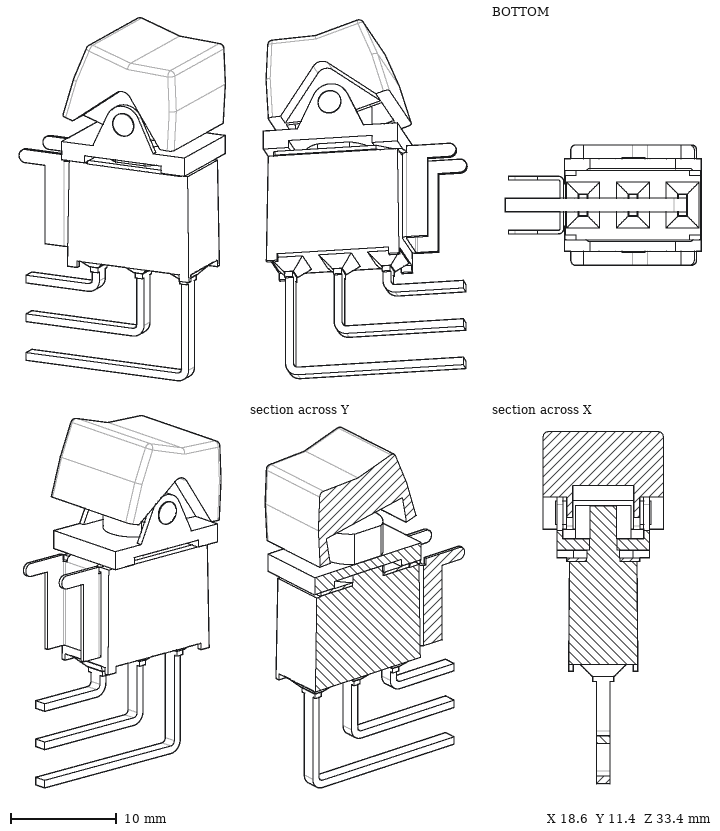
import cadquery as cq
import math


HOUSING_TOP_LENGTH = 12.5
HOUSING_TOP_WIDTH = 6.4
HOUSING_BOTTOM_LENGTH = 12.83
HOUSING_BOTTOM_WIDTH = 6.6
HOUSING_HEIGHT = 10.4
FOOT_HEIGHT = 0.65
FOOT_LENGTH = 1.05
FOOT_WIDTH = 0.47
UNDERSIDE_Z = FOOT_HEIGHT - HOUSING_HEIGHT

SEAL_HEIGHT = 1.1
SEAL_BOTTOM_LENGTH = 0.95
SEAL_BOTTOM_WIDTH = 2.15
SEAL_BOTTOM_Z = UNDERSIDE_Z - SEAL_HEIGHT

TERMINAL_COUNT = 3
TERMINAL_PITCH = 4.7
TERMINAL_THICKNESS = 0.77
TERMINAL_WIDTH = 1.3
TERMINAL_TIP_X = -12.1
TERMINAL_BEND_INNER_RADIUS = 0.45
TERMINAL_BEND_OUTER_RADIUS = TERMINAL_BEND_INNER_RADIUS + TERMINAL_THICKNESS
SHOULDER_WIDTH = 2.0
SHOULDER_HEIGHT = 0.5
LOWEST_Z = -21.05
ROW_PITCH = 3.8

SHEET = 0.37
CLIP_PLATE_WIDTH = 6.92
CLIP_NECK_WIDTH = 4.0
CLIP_SHOULDER = (CLIP_PLATE_WIDTH - CLIP_NECK_WIDTH) / 2
CLIP_SHOULDER_X = -5.68
CLIP_END_X = 5.75
CLIP_END_CHAMFER = 0.25
CLIP_BACK_X = -6.92
CLIP_BEND_RADIUS = 0.67
CLIP_BOTTOM_Z = -8.65
ARM_OUTER_SPACING = 5.48
ARM_BEND_RADIUS = 0.5
ARM_EDGE_X = -9.05
PRONG_TIP_X = -11.8
PRONG_HEIGHT = 1.3

FRAME_LENGTH = 12.97
FRAME_WIDTH = 8.8
FRAME_BOTTOM_Z = SHEET
FRAME_TOP_Z = 2.17
FRAME_SLOT_LENGTH = 8.1
FRAME_SLOT_HEIGHT = 0.7
EAR_THICKNESS = 0.57
EAR_BASE_LENGTH = 6.38
EAR_RADIUS = 1.8

PIVOT_X = 0.07
PIVOT_Z = 4.65
PIVOT_DIAMETER = 2.2
PIVOT_END_Y = 4.5
ROCKER_TILT = 10.2
ROCKER_WIDTH = 11.43
ROCKER_TOP_HALF = 4.6
ROCKER_TOP_EDGE = 7.12
ROCKER_TOP_MIDDLE = 6.52
ROCKER_WAIST_HALF = 5.48
ROCKER_WAIST = 3.3
ROCKER_BOTTOM_HALF = 5.95
ROCKER_BOTTOM_EDGE = -0.57
ROCKER_BOTTOM_MIDDLE = -1.3
ROCKER_FILLET = 0.5
POCKET_FLOOR_Y = 3.48
POCKET_HALF = 4.68
POCKET_TIP_RADIUS = 1.0
POCKET_TIP_CENTER = 2.7
CAVITY_WIDTH = 5.75
CAVITY_TOP = 2.0

COLLAR_DIAMETER = 6.4
COLLAR_FLAT_WIDTH = 5.6
COLLAR_TOP_Z = FRAME_BOTTOM_Z + FRAME_SLOT_HEIGHT
POST_DIAMETER = 6.18
POST_FLAT_WIDTH = 5.28
POST_TOP_Z = PIVOT_Z + 0.67


def block(x_range, y_range, z_range):
    """Axis-aligned box between pairs of limits."""
    size = [high - low for low, high in (x_range, y_range, z_range)]
    corner = (x_range[0], y_range[0], z_range[0])
    return cq.Workplane("XY").box(*size, centered=False).translate(corner)


def centered_block(length, width, bottom_z, top_z):
    """Box centred on the switch axis."""
    return block((-length / 2, length / 2), (-width / 2, width / 2), (bottom_z, top_z))


def across(outline, y_low, y_high):
    """Extrude a closed XZ outline from y_low to y_high."""
    return outline.extrude(y_low - y_high).translate((0, y_low, 0))


def tangent_hood(half_base, base_height, radius, center_height):
    """XZ outline: a base line whose ends rise tangentially to an arc centred above its middle."""
    rise = center_height - base_height
    distance = math.hypot(half_base, rise)
    normal_angle = math.acos(radius / distance) - math.atan2(rise, half_base)
    tangent_x = radius * math.cos(normal_angle)
    tangent_z = center_height + radius * math.sin(normal_angle)
    return (
        cq.Workplane("XZ")
        .moveTo(-half_base, base_height)
        .lineTo(-tangent_x, tangent_z)
        .threePointArc((0, center_height + radius), (tangent_x, tangent_z))
        .lineTo(half_base, base_height)
        .close()
    )


def flatted_post(diameter, flat_width, height):
    """Round post standing on the housing top, with flats facing +Y and -Y."""
    post = cq.Workplane("XY").circle(diameter / 2).extrude(height)
    return post.intersect(centered_block(diameter, flat_width, 0, height))


def bushing_shape():
    """Wide collar inside the clip and frame slot, and the longer post through the frame."""
    collar = flatted_post(COLLAR_DIAMETER, COLLAR_FLAT_WIDTH, COLLAR_TOP_Z)
    return collar.union(flatted_post(POST_DIAMETER, POST_FLAT_WIDTH, POST_TOP_Z))


def pivot_pin(y_low, y_high):
    """Cylinder on the rocker's pivot axis."""
    return across(cq.Workplane("XZ").center(PIVOT_X, PIVOT_Z).circle(PIVOT_DIAMETER / 2), y_low, y_high)


def terminal_positions():
    """X of each vertical leg, from the -X end."""
    return [(index - (TERMINAL_COUNT - 1) / 2) * TERMINAL_PITCH for index in range(TERMINAL_COUNT)]


def make_seal(x):
    """Frustum with 45 degree sides under the housing, around a terminal."""
    return (
        cq.Workplane("XY", origin=(x, 0, SEAL_BOTTOM_Z))
        .rect(SEAL_BOTTOM_LENGTH, SEAL_BOTTOM_WIDTH)
        .workplane(offset=SEAL_HEIGHT)
        .rect(SEAL_BOTTOM_LENGTH + 2 * SEAL_HEIGHT, SEAL_BOTTOM_WIDTH + 2 * SEAL_HEIGHT)
        .loft(ruled=True)
    )


def make_housing():
    body = (
        cq.Workplane("XY", origin=(0, 0, -HOUSING_HEIGHT))
        .rect(HOUSING_BOTTOM_LENGTH, HOUSING_BOTTOM_WIDTH)
        .workplane(offset=HOUSING_HEIGHT)
        .rect(HOUSING_TOP_LENGTH, HOUSING_TOP_WIDTH)
        .loft(ruled=True)
    )
    between_feet_x = HOUSING_BOTTOM_LENGTH - 2 * FOOT_LENGTH
    between_feet_y = HOUSING_BOTTOM_WIDTH - 2 * FOOT_WIDTH
    body = body.cut(centered_block(between_feet_x, HOUSING_BOTTOM_WIDTH, -HOUSING_HEIGHT, UNDERSIDE_Z))
    body = body.cut(centered_block(HOUSING_BOTTOM_LENGTH, between_feet_y, -HOUSING_HEIGHT, UNDERSIDE_Z))
    for x in terminal_positions():
        body = body.union(make_seal(x))
    return body.union(bushing_shape())


def make_terminal(x, row_z):
    """Leg down from a seal at x, bent to run towards -X with its underside at row_z."""
    half = TERMINAL_THICKNESS / 2
    bar = (
        cq.Workplane("XZ")
        .moveTo(x - half, SEAL_BOTTOM_Z)
        .lineTo(x + half, SEAL_BOTTOM_Z)
        .lineTo(x + half, row_z + TERMINAL_BEND_OUTER_RADIUS)
        .radiusArc((x + half - TERMINAL_BEND_OUTER_RADIUS, row_z), TERMINAL_BEND_OUTER_RADIUS)
        .lineTo(TERMINAL_TIP_X, row_z)
        .lineTo(TERMINAL_TIP_X, row_z + TERMINAL_THICKNESS)
        .lineTo(x - half - TERMINAL_BEND_INNER_RADIUS, row_z + TERMINAL_THICKNESS)
        .radiusArc((x - half, row_z + TERMINAL_BEND_OUTER_RADIUS), -TERMINAL_BEND_INNER_RADIUS)
        .close()
    )
    shoulder = block(
        (x - half, x + half),
        (-SHOULDER_WIDTH / 2, SHOULDER_WIDTH / 2),
        (SEAL_BOTTOM_Z - SHOULDER_HEIGHT, SEAL_BOTTOM_Z),
    )
    return across(bar, -TERMINAL_WIDTH / 2, TERMINAL_WIDTH / 2).union(shoulder)


def make_clip_plate():
    """Flat part under the frame, narrowing to a neck at the bend."""
    half = CLIP_PLATE_WIDTH / 2
    neck = CLIP_NECK_WIDTH / 2
    bend_x = CLIP_BACK_X + CLIP_BEND_RADIUS
    chamfer_x = CLIP_END_X - CLIP_END_CHAMFER
    chamfer_y = half - CLIP_END_CHAMFER
    edge = [
        (bend_x, neck),
        (CLIP_SHOULDER_X, neck),
        (CLIP_SHOULDER_X + CLIP_SHOULDER, half),
        (chamfer_x, half),
        (CLIP_END_X, chamfer_y),
    ]
    mirrored_edge = [(x, -y) for x, y in reversed(edge)]
    return cq.Workplane("XY").polyline(edge + mirrored_edge).close().extrude(SHEET)


def make_clip_neck():
    """Quarter bend from the flat part down to the back wall."""
    center_x = CLIP_BACK_X + CLIP_BEND_RADIUS
    center_z = SHEET - CLIP_BEND_RADIUS
    inner = CLIP_BEND_RADIUS - SHEET
    bend = (
        cq.Workplane("XZ")
        .moveTo(CLIP_BACK_X, center_z)
        .radiusArc((center_x, SHEET), CLIP_BEND_RADIUS)
        .lineTo(center_x, center_z + inner)
        .radiusArc((center_x - inner, center_z), -inner)
        .close()
    )
    return across(bend, -CLIP_NECK_WIDTH / 2, CLIP_NECK_WIDTH / 2)


def make_clip_channel():
    """Back wall and the two arms, joined by rounded corners: a U in plan."""
    front_x = CLIP_BACK_X + SHEET
    outer = ARM_OUTER_SPACING / 2
    inner = outer - SHEET
    z_range = (CLIP_BOTTOM_Z, SHEET - CLIP_BEND_RADIUS)
    channel = block((ARM_EDGE_X, front_x), (-outer, outer), z_range)
    channel = channel.edges("|Z and >X").fillet(ARM_BEND_RADIUS)
    opening = block((ARM_EDGE_X, CLIP_BACK_X), (-inner, inner), z_range)
    opening = opening.edges("|Z and >X").fillet(ARM_BEND_RADIUS - SHEET)
    return channel.cut(opening)


def make_clip_prong():
    """Round-ended prong along the top of the +Y arm."""
    root_x = CLIP_BACK_X + SHEET - ARM_BEND_RADIUS
    outer = ARM_OUTER_SPACING / 2
    radius = PRONG_HEIGHT / 2
    prong_bottom_z = SHEET - PRONG_HEIGHT
    outline = (
        cq.Workplane("XZ")
        .moveTo(root_x, SHEET)
        .lineTo(root_x, prong_bottom_z)
        .lineTo(PRONG_TIP_X + radius, prong_bottom_z)
        .threePointArc((PRONG_TIP_X, SHEET - radius), (PRONG_TIP_X + radius, SHEET))
        .close()
    )
    return across(outline, outer - SHEET, outer)


def make_clip():
    prong = make_clip_prong()
    clip = make_clip_plate().union(make_clip_neck()).union(make_clip_channel())
    clip = clip.union(prong).union(prong.mirror("XZ")).clean()
    return clip.cut(bushing_shape())


def make_frame():
    frame = centered_block(FRAME_LENGTH, FRAME_WIDTH, FRAME_BOTTOM_Z, FRAME_TOP_Z)
    frame = frame.cut(centered_block(FRAME_SLOT_LENGTH, FRAME_WIDTH, FRAME_BOTTOM_Z, COLLAR_TOP_Z))
    outer = FRAME_WIDTH / 2
    ear_outline = tangent_hood(EAR_BASE_LENGTH / 2, FRAME_TOP_Z, EAR_RADIUS, PIVOT_Z)
    ear = across(ear_outline, outer - EAR_THICKNESS, outer)
    frame = frame.union(ear).union(ear.mirror("XZ"))
    frame = frame.cut(pivot_pin(-outer, outer))
    return frame.cut(bushing_shape())


def make_rocker_body():
    """Upright cap with a V top, a V bottom, kinked end walls and rounded edges above the bottom."""
    right_side = [
        (ROCKER_BOTTOM_HALF, ROCKER_BOTTOM_EDGE),
        (ROCKER_WAIST_HALF, ROCKER_WAIST),
        (ROCKER_TOP_HALF, ROCKER_TOP_EDGE),
    ]
    left_side = [(-x, z) for x, z in reversed(right_side)]
    outline = [(0, ROCKER_BOTTOM_MIDDLE), *right_side, (0, ROCKER_TOP_MIDDLE), *left_side]
    half_width = ROCKER_WIDTH / 2
    body = across(cq.Workplane("XZ").polyline(outline).close(), -half_width, half_width)
    reach_x = ROCKER_BOTTOM_HALF
    reach_y = ROCKER_WIDTH
    upper_edges = cq.selectors.BoxSelector((-reach_x, -reach_y, 0), (reach_x, reach_y, 2 * ROCKER_TOP_EDGE))
    kinks = cq.selectors.BoxSelector(
        (-reach_x, -ROCKER_FILLET, ROCKER_WAIST - ROCKER_FILLET),
        (reach_x, ROCKER_FILLET, (ROCKER_TOP_MIDDLE + ROCKER_TOP_EDGE) / 2),
    )
    return body.edges(upper_edges - kinks).fillet(ROCKER_FILLET)


def make_rocker():
    body = make_rocker_body()
    half_width = ROCKER_WIDTH / 2
    slope = (ROCKER_BOTTOM_EDGE - ROCKER_BOTTOM_MIDDLE) / ROCKER_BOTTOM_HALF
    pocket_base = ROCKER_BOTTOM_MIDDLE + slope * POCKET_HALF
    outline = tangent_hood(POCKET_HALF, pocket_base, POCKET_TIP_RADIUS, POCKET_TIP_CENTER)
    pocket = across(outline, POCKET_FLOOR_Y, half_width)
    pocket = pocket.union(
        block((-POCKET_HALF, POCKET_HALF), (POCKET_FLOOR_Y, half_width), (ROCKER_BOTTOM_MIDDLE, pocket_base))
    )
    body = body.cut(pocket).cut(pocket.mirror("XZ"))
    body = body.cut(centered_block(2 * POCKET_HALF, CAVITY_WIDTH, ROCKER_BOTTOM_MIDDLE, CAVITY_TOP))
    body = body.rotate((0, 0, 0), (0, 1, 0), ROCKER_TILT).translate((PIVOT_X, 0, PIVOT_Z))
    pin = pivot_pin(POCKET_FLOOR_Y, PIVOT_END_Y)
    return body.union(pin).union(pin.mirror("XZ"))


rocker = make_rocker()
frame = make_frame()
clip = make_clip()
housing = make_housing()
terminals = []
for row, leg_x in enumerate(terminal_positions()):
    row_z = LOWEST_Z + (TERMINAL_COUNT - 1 - row) * ROW_PITCH
    terminals.append(make_terminal(leg_x, row_z).val())

result = cq.Compound.makeCompound([rocker.val(), frame.val(), clip.val(), housing.val(), *terminals])